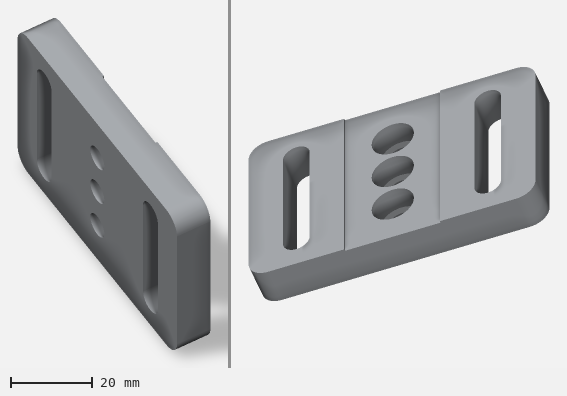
import cadquery as cq

length = 75.0
thickness = 9.5
height = 50.0
corner_radius = 5.0

channel_width = length / 3
channel_depth = 0.5

slot_spacing = 2 * length / 3
slot_length = 39.0
slot_width = 7.0

hole_count = 3
hole_spacing = height / 4
hole_diameter = 6.6

through_depth = 3.0
counterbore_diameter = 11.0

front_y = -thickness / 2
back_y = thickness / 2


def make_plate():
    plate = cq.Workplane("XY").box(length, thickness, height)
    return plate.edges("|Y").fillet(corner_radius)


def make_channel():
    channel = cq.Workplane("XY").box(channel_width, 2 * channel_depth, height)
    return channel.translate((0, back_y, 0))


def make_slots():
    return (
        cq.Workplane("XZ")
        .rarray(slot_spacing, 0.75, 2, 1)
        .slot2D(slot_length, slot_width, 90)
        .extrude(thickness, both=True)
    )


def make_hole_column(diameter):
    return (
        cq.Workplane("XZ")
        .rarray(0.75, hole_spacing, 1, hole_count)
        .circle(diameter / 2)
        .extrude(-thickness)
    )


holes = make_hole_column(hole_diameter).translate((0, front_y, 0))
counterbores = make_hole_column(counterbore_diameter).translate((0, front_y + through_depth, 0))

result = make_plate().cut(make_channel()).cut(make_slots()).cut(holes).cut(counterbores)